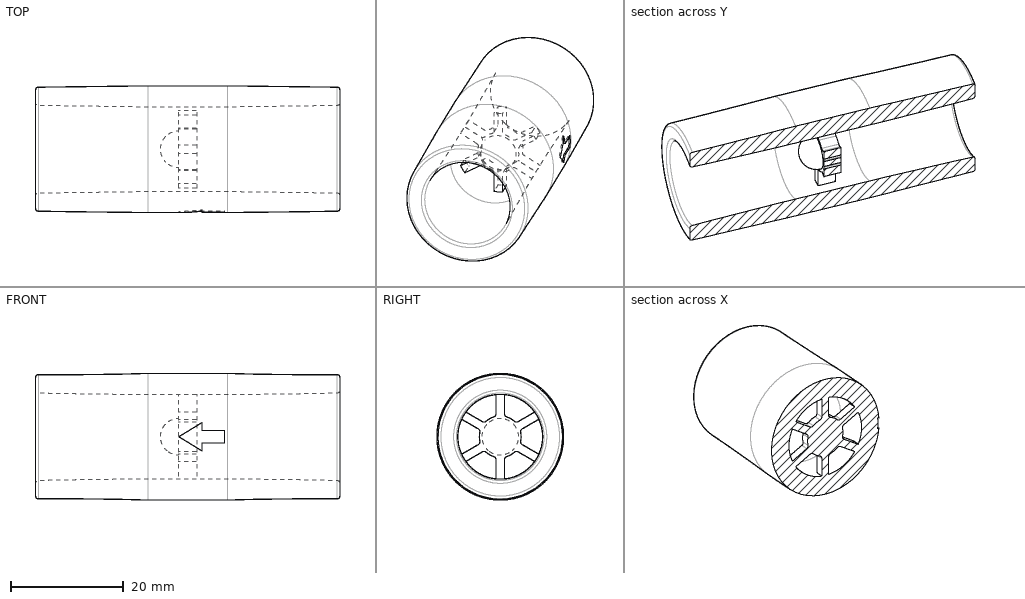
import cadquery as cq

LENGTH = 54.0
BAND_LENGTH = 14.05
BAND_RADIUS = 11.26
END_RADIUS = 11.0
RIM_FILLET = 0.5

MOUTH_RADIUS = 7.8
THROAT_RADIUS = 7.5

SPOKE_COUNT = 6
SPOKE_WIDTH = 1.5
SPIDER_LENGTH = 3.25
HUB_RADIUS = 3.7
HUB_FILLET = 0.55
NOSE_RADIUS = 3.25

ARROW_TIP_X = -1.55
ARROW_HEAD_X = 2.5
ARROW_TAIL_X = 6.5
ARROW_HEAD_HALF_HEIGHT = 2.5
ARROW_SHAFT_HALF_HEIGHT = 1.1
ARROW_DEPTH = 0.25

HALF_LENGTH = LENGTH / 2
HALF_BAND = BAND_LENGTH / 2
AXIS_START = (0, 0, 0)
AXIS_END = (1, 0, 0)


def double_taper(end_radius, middle_radius):
    """Solid of revolution with a straight middle band and a cone on either side."""
    profile = [
        (-HALF_LENGTH, 0),
        (-HALF_LENGTH, end_radius),
        (-HALF_BAND, middle_radius),
        (HALF_BAND, middle_radius),
        (HALF_LENGTH, end_radius),
        (HALF_LENGTH, 0),
    ]
    return cq.Workplane("XY").polyline(profile).close().revolve(360, AXIS_START, AXIS_END)


def tube():
    """Tapered tube with all four mouth edges rounded."""
    body = double_taper(END_RADIUS, BAND_RADIUS).cut(double_taper(MOUTH_RADIUS, THROAT_RADIUS))
    return body.faces("<X or >X").edges().fillet(RIM_FILLET)


def spider():
    """Hub on radial spokes, with a half-ball nose facing -X."""
    plate = cq.Workplane("YZ").workplane(offset=-SPIDER_LENGTH / 2)
    hub = plate.circle(HUB_RADIUS).extrude(SPIDER_LENGTH)
    spoke_reach = (THROAT_RADIUS + BAND_RADIUS) / 2
    for index in range(SPOKE_COUNT // 2):
        bar = plate.transformed(rotate=(0, 0, 90 + index * 360 / SPOKE_COUNT))
        hub = hub.union(bar.rect(2 * spoke_reach, SPOKE_WIDTH).extrude(SPIDER_LENGTH))
    near_hub = cq.selectors.BoxSelector(
        (-SPIDER_LENGTH, -HUB_RADIUS, -HUB_RADIUS),
        (SPIDER_LENGTH, HUB_RADIUS, HUB_RADIUS),
    )
    hub = hub.edges("|X").edges(near_hub).fillet(HUB_FILLET)
    nose = cq.Workplane("XY").sphere(NOSE_RADIUS).translate((-SPIDER_LENGTH / 2, 0, 0))
    return hub.union(nose)


def arrow_recess():
    """Cutter for the arrow, pointing to -X with a floor that follows the band's curve."""
    outline = [
        (ARROW_TIP_X, 0),
        (ARROW_HEAD_X, ARROW_HEAD_HALF_HEIGHT),
        (ARROW_HEAD_X, ARROW_SHAFT_HALF_HEIGHT),
        (ARROW_TAIL_X, ARROW_SHAFT_HALF_HEIGHT),
        (ARROW_TAIL_X, -ARROW_SHAFT_HALF_HEIGHT),
        (ARROW_HEAD_X, -ARROW_SHAFT_HALF_HEIGHT),
        (ARROW_HEAD_X, -ARROW_HEAD_HALF_HEIGHT),
    ]
    prism = cq.Workplane("XZ").polyline(outline).close().extrude(BAND_RADIUS)
    core = cq.Workplane("YZ").circle(BAND_RADIUS - ARROW_DEPTH).extrude(HALF_BAND, both=True)
    return prism.cut(core)


result = tube().union(spider()).cut(arrow_recess())